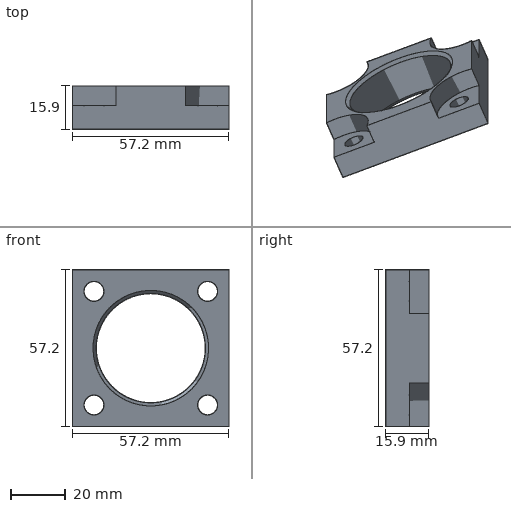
import cadquery as cq

side = 57.15
depth = 15.875
half_side = side / 2

bore_radius = 19.85
bore_chamfer = 1.2

bolt_radius = 3.572
bolt_offset = 20.7

relief_depth = 7.144
relief_radius = 12.7
relief_inset = 3.74
relief_offset = half_side - relief_inset

front_y = -depth / 2
back_y = depth / 2
flange_back_y = back_y - relief_depth


def cylinder_along_y(x, z, radius, start_y, length):
    """Solid cylinder running toward +Y from start_y."""
    start = cq.Vector(x, start_y, z)
    return cq.Workplane(cq.Solid.makeCylinder(radius, length, start, cq.Vector(0, 1, 0)))


def chamfer_cone(face_y, inward):
    """Cone for a 45 degree bore chamfer, narrowing inward (+1 or -1 along Y) from a face."""
    cone = cq.Solid.makeCone(
        bore_radius + bore_chamfer,
        bore_radius,
        bore_chamfer,
        cq.Vector(0, face_y, 0),
        cq.Vector(0, inward, 0),
    )
    return cq.Workplane(cone)


def cut_bore(body):
    """Through bore with a chamfer at the front and at the back."""
    bored = body.cut(cylinder_along_y(0, 0, bore_radius, front_y, depth))
    return bored.cut(chamfer_cone(front_y, 1)).cut(chamfer_cone(back_y, -1))


def cut_corner(body, x_sign, z_sign):
    """Relief behind one corner of the flange and the bolt hole through it."""
    relief = cylinder_along_y(
        x_sign * relief_offset, z_sign * relief_offset, relief_radius, flange_back_y, relief_depth
    )
    bolt_hole = cylinder_along_y(
        x_sign * bolt_offset, z_sign * bolt_offset, bolt_radius, front_y, depth
    )
    return body.cut(relief).cut(bolt_hole)


result = cut_bore(cq.Workplane("XY").box(side, depth, side))
for x_sign in (-1, 1):
    for z_sign in (-1, 1):
        result = cut_corner(result, x_sign, z_sign)